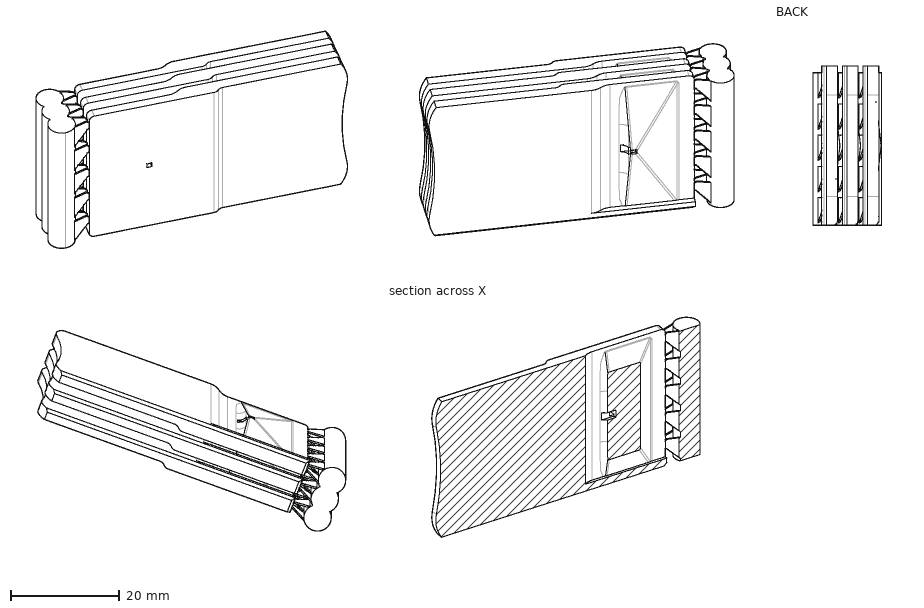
import cadquery as cq
import math


plate_count = 3
post_radius = 2.55
overall_width = 12.7
overall_length = 57.6
post_pitch = (overall_width - 2 * post_radius) / (plate_count - 1)
post_height = 28.2

plate_height = 29.4
plate_front = 7.6
left_face = -2.0
right_face = 0.9
pocket_depth = 1.2
pocket_face = left_face + pocket_depth
ledge_height = 1.6
pocket_step_start = 23.45
pocket_step_end = 27.15
back_step_depth = 0.85
back_step_start = 31.6
back_step_end = 33.55
front_corner_radius = 1.0
bottom_chamfer = 0.6

wave_corner_drop = 1.3
wave_crest_inset = 4.05
wave_hollow = 1.05

wedge_front = 10.65
wedge_back = 20.6
wedge_half_height = 13.75
wedge_rise = 1.6
wedge_tip_back = 19.9
wedge_root_radius = 1.7
front_bevel_along = 0.3
front_bevel_up = 0.35
back_bevel_along = 0.35
back_bevel_up = 0.05
window_front = 18.65
window_back = 19.65
window_height = 0.85
channel_height = 1.5
channel_roof = 1.1
channel_bend = 20.6
channel_back = 21.45
channel_sink = 0.7
selection_margin = 0.05

web_count = 5
web_pitch = 5.75
web_thickness = 0.3
web_middle = (pocket_face + right_face) / 2
web_spread_at_plate = 0.4
web_spread_at_post = 1.45
web_post_end = 4.4
web_top_chamfer = 0.45
web_drop_at_plate = 1.95
web_drop_at_post = 4.85
web_drop_inset = 0.3
web_overlap = 0.1

plate_middle = plate_height / 2


def s_step(sketch, start, end):
    """Continue an outline with two equal tangent arcs that leave and arrive parallel to Y."""
    (x0, y0), (x1, y1) = start, end
    middle = ((x0 + x1) / 2, (y0 + y1) / 2)
    return sketch.tangentArcPoint(middle, relative=False).tangentArcPoint(end, relative=False)


def make_plate_body():
    """Plate with a stepped +X face, a wavy far end and eased front and bottom edges."""
    thin_face = right_face - back_step_depth
    outline = (
        cq.Workplane("XY")
        .moveTo(left_face, plate_front)
        .lineTo(right_face, plate_front)
        .lineTo(right_face, back_step_start)
    )
    outline = s_step(outline, (right_face, back_step_start), (thin_face, back_step_end))
    body = outline.lineTo(thin_face, overall_length).lineTo(left_face, overall_length).close()
    body = body.extrude(plate_height)
    body = body.intersect(make_side_profile())
    return body.faces("<Z").edges("<X or <Y").chamfer(bottom_chamfer)


def make_side_profile():
    """YZ outline of the plate: convex arcs at both far corners, a concave arc between them."""
    crest_radius = (wave_corner_drop**2 + wave_crest_inset**2) / (2 * wave_corner_drop)
    crest_to_middle = plate_middle - wave_crest_inset
    turn = 2 * math.atan(wave_hollow / crest_to_middle)
    joint_y = overall_length - crest_radius * (1 - math.cos(turn))
    joint_offset = crest_to_middle - crest_radius * math.sin(turn)
    corner_y = overall_length - wave_corner_drop
    profile = (
        cq.Workplane("YZ")
        .moveTo(plate_front, 0)
        .lineTo(corner_y, 0)
        .threePointArc((overall_length, wave_crest_inset), (joint_y, plate_middle - joint_offset))
        .threePointArc(
            (overall_length - wave_hollow, plate_middle), (joint_y, plate_middle + joint_offset)
        )
        .threePointArc((overall_length, plate_height - wave_crest_inset), (corner_y, plate_height))
        .lineTo(plate_front + front_corner_radius, plate_height)
        .radiusArc((plate_front, plate_height - front_corner_radius), -front_corner_radius)
        .close()
    )
    return profile.extrude(overall_width, both=True)


def make_pocket():
    """Recess in the -X face, open to the front and top, ending in an S-shaped step."""
    outline = (
        cq.Workplane("XY", origin=(0, 0, ledge_height))
        .moveTo(pocket_face, plate_front)
        .lineTo(pocket_face, pocket_step_start)
    )
    outline = s_step(outline, (pocket_face, pocket_step_start), (left_face, pocket_step_end))
    return outline.lineTo(left_face, plate_front).close().extrude(plate_height)


def beveled_rectangle(front, back, half_height):
    """Rectangle in Y and Z with its corners cut off by the ridge bevels."""
    low = plate_middle - half_height
    high = plate_middle + half_height
    return [
        (front + front_bevel_along, low),
        (back - back_bevel_along, low),
        (back, low + back_bevel_up),
        (back, high - back_bevel_up),
        (back - back_bevel_along, high),
        (front + front_bevel_along, high),
        (front, high - front_bevel_up),
        (front, low + front_bevel_up),
    ]


def make_wedge():
    """Low off-centre pyramid blended into the pocket face by a concave fillet around its foot."""
    root = cq.Workplane("XY").box(
        right_face - pocket_face, pocket_step_start - plate_front, plate_height, centered=False
    )
    root = root.translate((pocket_face, plate_front, 0))
    pyramid = (
        cq.Workplane("YZ", origin=(pocket_face, 0, 0))
        .polyline(beveled_rectangle(wedge_front, wedge_back, wedge_half_height))
        .close()
        .workplane(offset=-wedge_rise)
        .polyline(beveled_rectangle(window_front, wedge_tip_back, window_height / 2))
        .close()
        .loft(ruled=True)
    )
    foot_bottom = plate_middle - wedge_half_height - selection_margin
    foot_top = plate_middle + wedge_half_height + selection_margin
    foot = cq.selectors.BoxSelector(
        (pocket_face - selection_margin, wedge_front - selection_margin, foot_bottom),
        (pocket_face + selection_margin, wedge_back + selection_margin, foot_top),
        boundingbox=True,
    )
    wedge = root.union(pyramid).edges(foot).fillet(wedge_root_radius)
    return wedge.cut(make_channel())


def make_channel():
    """Channel through the back fillet that runs in under the wedge tip, over a sinking floor."""
    roof_x = pocket_face - channel_roof
    return (
        cq.Workplane("XY", origin=(0, 0, plate_middle - channel_height / 2))
        .polyline(
            [
                (roof_x, channel_back),
                (pocket_face, channel_back),
                (pocket_face, channel_bend),
                (pocket_face + channel_sink, window_front),
                (roof_x, window_front),
            ]
        )
        .close()
        .extrude(channel_height)
    )


def make_window():
    """Rectangular hole through the wedge tip and the plate behind it."""
    return (
        cq.Workplane("XY")
        .box(overall_width, window_back - window_front, window_height)
        .translate((0, (window_front + window_back) / 2, plate_middle))
    )


def make_plate():
    """Complete plate: pocketed body with its wedge, pierced by the window."""
    ledge = cq.Workplane("XY").box(
        overall_width, overall_length, ledge_height, centered=(True, False, False)
    )
    wedge = make_wedge().cut(ledge).intersect(make_side_profile())
    return make_plate_body().cut(make_pocket()).union(wedge).cut(make_window())


def make_web(side):
    """One slanted hinge web; side is -1 or +1 for the two legs of the V."""
    web_plate_end = plate_front + web_overlap
    spread_per_length = (web_spread_at_post - web_spread_at_plate) / (plate_front - web_post_end)
    half_width = web_thickness / 2 * math.hypot(1, spread_per_length)
    plate_x = web_middle + side * (web_spread_at_plate - spread_per_length * web_overlap)
    post_x = web_middle + side * web_spread_at_post
    slab = (
        cq.Workplane("XY")
        .polyline(
            [
                (plate_x - half_width, web_plate_end),
                (plate_x + half_width, web_plate_end),
                (post_x + half_width, web_post_end),
                (post_x - half_width, web_post_end),
            ]
        )
        .close()
        .extrude(post_height)
    )
    outline = (
        cq.Workplane("YZ")
        .polyline(
            [
                (web_plate_end, post_height - web_top_chamfer),
                (plate_front, post_height - web_top_chamfer),
                (plate_front - web_top_chamfer, post_height),
                (web_post_end, post_height),
                (web_post_end, post_height - web_drop_at_post),
                (plate_front - web_drop_inset, post_height - web_drop_at_plate),
                (web_plate_end, post_height - web_drop_at_plate),
            ]
        )
        .close()
        .extrude(overall_width, both=True)
    )
    return slab.intersect(outline)


def make_unit():
    """One post, its column of hinge webs and its plate."""
    unit = cq.Workplane("XY").center(0, post_radius).circle(post_radius).extrude(post_height)
    unit = unit.union(make_plate())
    for side in (-1, 1):
        web = make_web(side)
        for level in range(web_count):
            unit = unit.union(web.translate((0, 0, -level * web_pitch)))
    return unit


unit = make_unit()
result = unit
for index in range(1, plate_count):
    result = result.union(unit.translate((index * post_pitch, 0, 0)))